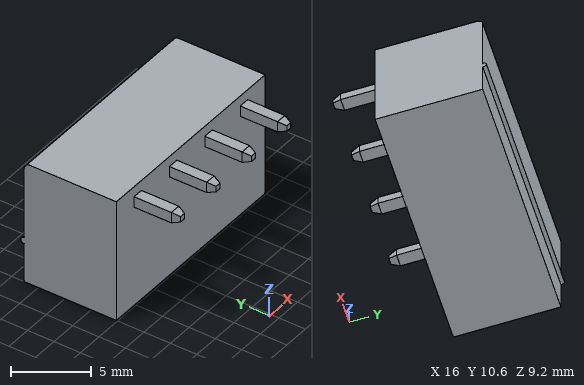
import cadquery as cq

width = 16.03
depth = 7.0
height = 9.2
back_top_radius = 0.5

ridge_radius = 0.24
ridge_center_z = 3.17

pin_count = 4
pin_pitch = 3.82
pin_side = 0.8
pin_length = 3.4
pin_tip_length = 0.58
pin_tip_side = 0.42
pin_center_z = height - 1.17


def make_housing():
    """Block with its front face on Y = 0, its base on Z = 0 and its top back edge rounded."""
    block = cq.Workplane("XY").box(width, depth, height, centered=(True, False, False))
    return block.edges(">Y and >Z").fillet(back_top_radius)


def make_ridge():
    """Half-round bar standing on the back face."""
    crest = (depth + ridge_radius, ridge_center_z)
    profile = (
        cq.Workplane("YZ")
        .moveTo(depth, ridge_center_z - ridge_radius)
        .threePointArc(crest, (depth, ridge_center_z + ridge_radius))
        .close()
    )
    return profile.extrude(width / 2, both=True)


def make_pin(x):
    """Square pin pointing toward -Y, with a tip that tapers on all four sides."""
    shank = cq.Workplane("XZ").center(x, pin_center_z).rect(pin_side, pin_side)
    shank = shank.extrude(pin_length - pin_tip_length)
    tip = (
        shank.faces("<Y")
        .workplane(centerOption="CenterOfMass")
        .rect(pin_side, pin_side)
        .workplane(offset=pin_tip_length)
        .rect(pin_tip_side, pin_tip_side)
        .loft(combine=False)
    )
    return shank.union(tip)


result = make_housing().union(make_ridge())
for index in range(pin_count):
    pin_x = (index - (pin_count - 1) / 2) * pin_pitch
    result = result.union(make_pin(pin_x))